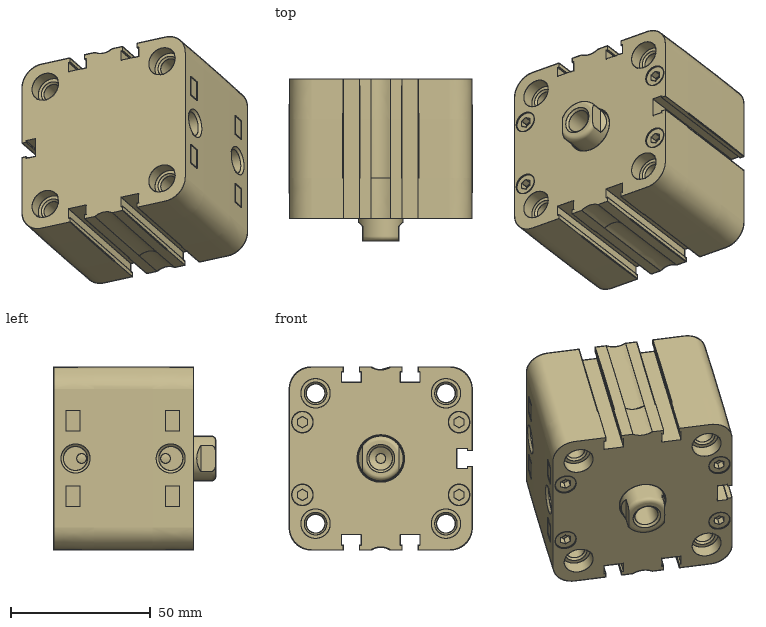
import cadquery as cq
import math


side = 65.5
half_side = side / 2
length = 50.0
corner_radius = 8.0
cap_length = 14.5
barrel_length = length - 2 * cap_length
cap_draft_angle = 0.5

slot_mouth_width = 5.7
slot_width = 7.0
slot_depth = 5.5
slot_lip = 1.8
slot_edge_break = 0.25
slot_offset = 10.5

groove_width = 7.0
groove_depth = 1.0
groove_lead_in_width = 0.3
groove_lead_in_drop = 0.1

mount_offset = 23.3
mount_counterbore_diameter = 10.5
mount_counterbore_depth = 5.0
mount_countersink_diameter = 8.05
mount_hole_diameter = 6.65

screw_x = 28.0
screw_z = 13.0
screw_head_diameter = 7.5
screw_recess_diameter = 7.7
screw_sink = 0.4
screw_gap_depth = 1.0
hex_across_flats = 3.5
hex_depth = 3.0

port_diameter = 8.57
port_mouth_diameter = 10.5
port_depth = 8.0
front_port_y = 8.1
rear_port_y = length - 7.8
passage_diameter = 3.5
passage_inset = 10.0

panel_width = 5.0
panel_height = 7.3
panel_depth = 0.3
panel_z = 13.5
front_panel_y = 7.45
rear_panel_y = length - 7.0

rod_diameter = 16.0
rod_protrusion = 8.0
rod_bore_diameter = 16.5
rod_bore_chamfer = 0.25
rod_bore_depth = 44.0
rod_tip_fillet = 1.6
flats_width = 13.0
flats_length = 5.35
thread_diameter = 8.38
thread_countersink_diameter = 10.0
thread_depth = 16.0
thread_tip_diameter = 3.5
drill_tip_angle = 118.0


def along_y(y):
    """Sketch plane at position y whose normal points to +Y, with local x = X and local y = -Z."""
    return cq.Workplane("XZ", origin=(0, y, 0)).transformed(rotate=(180, 0, 0))


def cylinder(diameter, y_start, depth):
    return along_y(y_start).circle(diameter / 2).extrude(depth)


def cone(start_diameter, end_diameter, y_start, depth):
    """Cone along +Y that changes from start_diameter to end_diameter."""
    return cq.Workplane(
        cq.Solid.makeCone(
            start_diameter / 2,
            end_diameter / 2,
            depth,
            pnt=cq.Vector(0, y_start, 0),
            dir=cq.Vector(0, 1, 0),
        )
    )


def at_mirrored_places(tool, x, z):
    """The tool repeated at the four places (+-x, +-z)."""
    copies = [tool.translate((sx * x, 0, sz * z)) for sx in (-1, 1) for sz in (-1, 1)]
    return cq.Workplane(cq.Compound.makeCompound([copy.val() for copy in copies]))


def block_outline(y, lead_in):
    """Rounded square with a shallow arc groove at the middle of the top and bottom sides.

    With a lead-in, a short flat ramp softens both edges of the groove.
    """
    arc_end_x = groove_width / 2 - (groove_lead_in_width if lead_in else 0)
    arc_end_z = half_side - (groove_lead_in_drop if lead_in else 0)
    groove_z = half_side - groove_depth
    straight = half_side - corner_radius
    corner_mid = straight + corner_radius * math.sqrt(0.5)
    outline = along_y(y).moveTo(-groove_width / 2, half_side)
    for s in (1, -1):
        if lead_in:
            outline = outline.lineTo(-s * arc_end_x, s * arc_end_z)
        outline = outline.threePointArc((0, s * groove_z), (s * arc_end_x, s * arc_end_z))
        if lead_in:
            outline = outline.lineTo(s * groove_width / 2, s * half_side)
        outline = (
            outline.lineTo(s * straight, s * half_side)
            .threePointArc((s * corner_mid, s * corner_mid), (s * half_side, s * straight))
            .lineTo(s * half_side, -s * straight)
            .threePointArc((s * corner_mid, -s * corner_mid), (s * straight, -s * half_side))
            .lineTo(s * groove_width / 2, -s * half_side)
        )
    return outline.close()


def make_block():
    """Straight barrel between two caps that narrow slightly toward their outer ends."""
    barrel = block_outline(cap_length, True).extrude(barrel_length)
    rear_cap = block_outline(length - cap_length, True).extrude(cap_length, taper=cap_draft_angle)
    front_cap = block_outline(length - cap_length, False).extrude(cap_length, taper=cap_draft_angle)
    return barrel.union(front_cap.mirror("XZ", (0, length / 2, 0))).union(rear_cap)


def slot_tool():
    """T-slot that opens to +Z at x = 0, with broken mouth edges behind the front cap."""
    mouth = cq.Workplane("XY").box(slot_mouth_width, length, slot_depth, centered=(True, False, False))
    wide = cq.Workplane("XY").box(slot_width, length, slot_depth - slot_lip, centered=(True, False, False))
    edge_break = (
        along_y(cap_length)
        .polyline(
            [
                (-slot_mouth_width / 2, -slot_depth + slot_edge_break),
                (slot_mouth_width / 2, -slot_depth + slot_edge_break),
                (slot_mouth_width / 2 + slot_edge_break, -slot_depth),
                (-slot_mouth_width / 2 - slot_edge_break, -slot_depth),
            ]
        )
        .close()
        .extrude(length - cap_length)
    )
    return mouth.union(wide).union(edge_break).translate((0, 0, half_side - slot_depth))


def mount_hole_tool():
    """Through hole with a counterbore and a countersink at each end."""
    countersink_depth = (mount_countersink_diameter - mount_hole_diameter) / 2
    tool = cylinder(mount_hole_diameter, 0, length)
    counterbore = cylinder(mount_counterbore_diameter, 0, mount_counterbore_depth)
    countersink = cone(
        mount_countersink_diameter, mount_hole_diameter, mount_counterbore_depth, countersink_depth
    )
    front_end = counterbore.union(countersink)
    rear_end = front_end.mirror("XZ", (0, length / 2, 0))
    return tool.union(front_end).union(rear_end)


def screw_tool():
    """Recess over a screw head, the narrow gap around the head, and its hexagon socket."""
    recess = cylinder(screw_recess_diameter, 0, screw_sink + screw_gap_depth)
    head = cylinder(screw_head_diameter, screw_sink, screw_gap_depth)
    socket = (
        along_y(screw_sink)
        .transformed(rotate=(0, 0, 90))
        .polygon(6, hex_across_flats / math.cos(math.pi / 6))
        .extrude(hex_depth)
    )
    return recess.cut(head).union(socket)


def port_tool(port_y, passage_y):
    """Countersunk port on the -X side with a passage from its floor to the rod bore."""
    mouth_depth = (port_mouth_diameter - port_diameter) / 2
    face = cq.Workplane("YZ", origin=(-half_side, 0, 0))
    port = face.center(port_y, 0).circle(port_diameter / 2).extrude(port_depth)
    passage = face.center(passage_y, 0).circle(passage_diameter / 2).extrude(half_side)
    mouth = cq.Workplane(
        cq.Solid.makeCone(
            port_mouth_diameter / 2,
            port_diameter / 2,
            mouth_depth,
            pnt=cq.Vector(-half_side, port_y, 0),
            dir=cq.Vector(1, 0, 0),
        )
    )
    return port.union(passage).union(mouth)


def panel_tool(panel_y):
    """Pair of marking panels on the -X side, mirrored about the port height."""
    return (
        cq.Workplane("YZ", origin=(-half_side, 0, 0))
        .pushPoints([(panel_y, -panel_z), (panel_y, panel_z)])
        .rect(panel_width, panel_height)
        .extrude(panel_depth)
    )


def make_housing():
    body = make_block()
    for x in (-slot_offset, slot_offset):
        slot = slot_tool().translate((x, 0, 0))
        body = body.cut(slot).cut(slot.mirror("XY"))
    body = body.cut(slot_tool().rotate((0, 0, 0), (0, 1, 0), 90))
    body = body.cut(at_mirrored_places(mount_hole_tool(), mount_offset, mount_offset))
    body = body.cut(at_mirrored_places(screw_tool(), screw_x, screw_z))
    body = body.cut(port_tool(front_port_y, passage_inset))
    body = body.cut(port_tool(rear_port_y, length - passage_inset))
    body = body.cut(panel_tool(front_panel_y)).cut(panel_tool(rear_panel_y))
    body = body.cut(cylinder(rod_bore_diameter, 0, rod_bore_depth))
    bore_mouth_diameter = rod_bore_diameter + 2 * rod_bore_chamfer
    return body.cut(cone(bore_mouth_diameter, rod_bore_diameter, 0, rod_bore_chamfer))


def flat_tool():
    """Wrench flat on the +X side of the rod with a 45 degree run-out toward the housing."""
    depth = (rod_diameter - flats_width) / 2
    flat_end = -rod_protrusion + flats_length
    return (
        cq.Workplane("XY")
        .moveTo(flats_width / 2, -rod_protrusion)
        .lineTo(flats_width / 2, flat_end)
        .lineTo(rod_diameter / 2, flat_end + depth)
        .lineTo(rod_diameter / 2, -rod_protrusion)
        .close()
        .extrude(rod_diameter / 2, both=True)
    )


def make_rod():
    tip = -rod_protrusion
    rod = cylinder(rod_diameter, tip, rod_bore_depth + rod_protrusion)
    rod = rod.faces("<Y").edges().fillet(rod_tip_fillet)
    rod = rod.cut(flat_tool()).cut(flat_tool().mirror("YZ"))
    countersink_depth = (thread_countersink_diameter - thread_diameter) / 2
    drill_tip_radial = (thread_diameter - thread_tip_diameter) / 2
    drill_tip_depth = drill_tip_radial / math.tan(math.radians(drill_tip_angle / 2))
    rod = rod.cut(cone(thread_countersink_diameter, thread_diameter, tip, countersink_depth))
    rod = rod.cut(cylinder(thread_diameter, tip, thread_depth))
    return rod.cut(cone(thread_diameter, thread_tip_diameter, tip + thread_depth, drill_tip_depth))


housing = make_housing()
rod = make_rod()

result = cq.Compound.makeCompound([housing.solids().val(), rod.solids().val()])